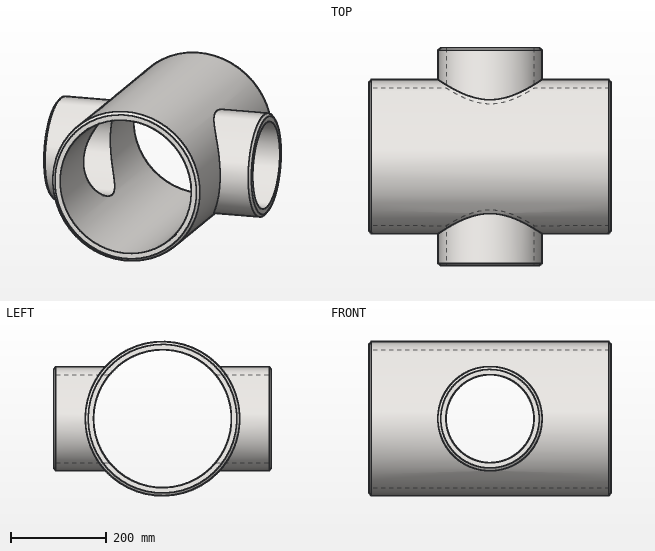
import cadquery as cq

run_length = 508.0
run_diameter = 324.0
run_bore = 289.0

branch_span = 457.0
branch_diameter = 219.0
branch_bore = 184.5

bevel_length = 5.0
bevel_depth = 6.0


def bevelled_bar(plane, diameter, length):
    """Solid round bar centred on the origin, with bevelled outer end edges."""
    radius = diameter / 2
    half = length / 2
    end_radius = radius - bevel_depth
    shoulder = half - bevel_length
    profile = [
        (0, -half),
        (end_radius, -half),
        (radius, -shoulder),
        (radius, shoulder),
        (end_radius, half),
        (0, half),
    ]
    return cq.Workplane(plane).polyline(profile).close().revolve(360, (0, 0, 0), (0, 1, 0))


def bore(plane, diameter, length):
    """Cylinder that clears a pipe from end to end."""
    return cq.Workplane(plane).circle(diameter / 2).extrude(length / 2, both=True)


run = bevelled_bar("YX", run_diameter, run_length)
branch = bevelled_bar("XY", branch_diameter, branch_span)

result = (
    run.union(branch)
    .cut(bore("YZ", run_bore, run_length))
    .cut(bore("XZ", branch_bore, branch_span))
)